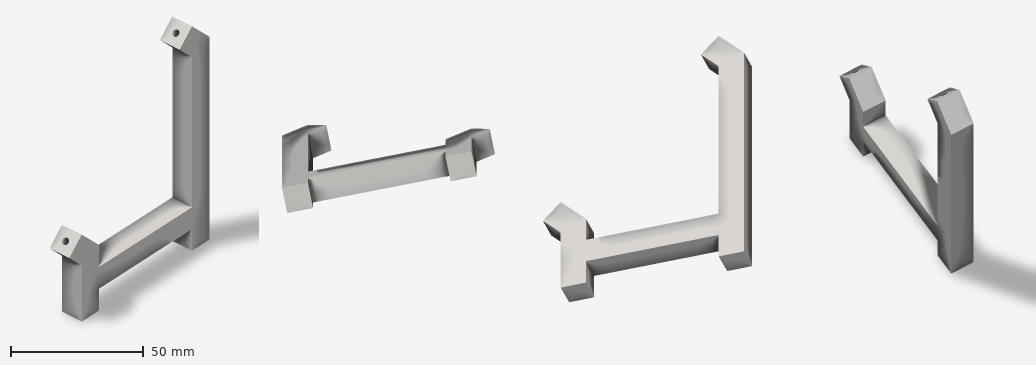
import cadquery as cq
import math

bar = 10.0
arm_depth = 10.1
arm_rise = bar
total_depth = 79.9
tall_height = 102.8
short_height = 39.9
hole_diameter = 3.0
hole_depth = 10.3

end_step = arm_depth * math.sin(math.radians(45))
front_back_face = -(total_depth - arm_rise - end_step)
crossbar_bottom = bar


def hooked_post(back_y, height):
    """Vertical post with a 45 degree arm and a screw hole in the arm's end face."""
    front_y = back_y - bar
    peak_y = back_y - arm_rise
    tip_y = peak_y - end_step
    tip_z = height - end_step
    elbow_z = tip_z - (front_y - tip_y)
    post = (
        cq.Workplane("YZ")
        .polyline([
            (back_y, 0),
            (back_y, height - arm_rise),
            (peak_y, height),
            (tip_y, tip_z),
            (front_y, elbow_z),
            (front_y, 0),
        ])
        .close()
        .extrude(bar / 2, both=True)
    )
    hole = cq.Solid.makeCylinder(
        hole_diameter / 2,
        hole_depth,
        cq.Vector(0, (peak_y + tip_y) / 2, (height + tip_z) / 2),
        cq.Vector(0, 1, -1),
    )
    return post.cut(cq.Workplane(obj=hole))


rear_post = hooked_post(0, tall_height)
front_post = hooked_post(front_back_face, short_height)

crossbar_length = -bar - front_back_face
crossbar = cq.Workplane("XY").box(bar, crossbar_length, bar).translate(
    (0, front_back_face + crossbar_length / 2, crossbar_bottom + bar / 2)
)

result = rear_post.union(crossbar).union(front_post)